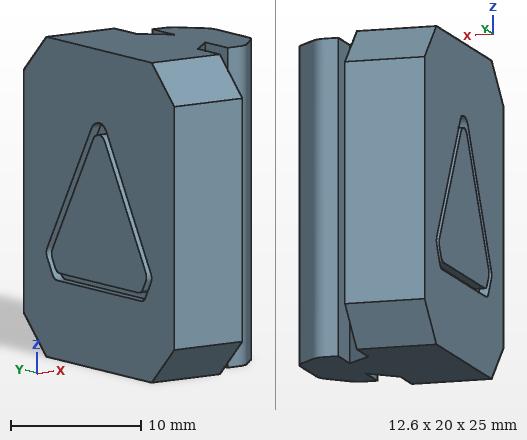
import cadquery as cq
import math

plate_thickness = 6.42
plate_width = 20.0
height = 25.0
plate_chamfer = 3.0

overall_depth = 12.55
neck_end_x = 8.58
neck_base_half_width = 4.1
neck_tip_half_width = 2.05
head_half_width = 5.0
head_chamfer = 2.3
head_corner_radius = 1.5

apex_z = 7.95
side_corner_z = -4.35
base_z = -6.32
groove_width = 0.6
groove_depth = 0.8
outer_apex_radius = 1.18
inner_apex_radius = 0.9
side_corner_radius = 0.75
base_corner_radius = 0.75


def make_plate():
    plate = cq.Workplane("XY").box(
        plate_thickness, plate_width, height, centered=(False, True, True)
    )
    return plate.edges("|X").chamfer(plate_chamfer)


def make_neck():
    return (
        cq.Workplane("XY", origin=(0, 0, -height / 2))
        .moveTo(plate_thickness, -neck_base_half_width)
        .lineTo(neck_end_x, -neck_tip_half_width)
        .lineTo(neck_end_x, neck_tip_half_width)
        .lineTo(plate_thickness, neck_base_half_width)
        .close()
        .extrude(height)
    )


def make_head():
    chamfer_start_x = overall_depth - head_chamfer
    tip_half_width = head_half_width - head_chamfer
    return (
        cq.Workplane("XY", origin=(0, 0, -height / 2))
        .moveTo(neck_end_x, -head_half_width)
        .lineTo(chamfer_start_x, -head_half_width)
        .lineTo(overall_depth, -tip_half_width)
        .lineTo(overall_depth, tip_half_width)
        .lineTo(chamfer_start_x, head_half_width)
        .lineTo(neck_end_x, head_half_width)
        .close()
        .extrude(height)
        .edges("|Z and (not <X)")
        .fillet(head_corner_radius)
    )


def make_triangle(inset, apex_radius):
    """Triangle with 60 degree sides and cut base corners, moved inward by inset."""
    slope = math.tan(math.radians(60))
    top = apex_z - inset / math.cos(math.radians(60))
    bottom = base_z + inset
    side_y = (top - side_corner_z) / slope
    base_y = side_y - (side_corner_z - bottom) / slope
    prism = (
        cq.Workplane("YZ")
        .polyline([
            (0, top),
            (side_y, side_corner_z),
            (base_y, bottom),
            (-base_y, bottom),
            (-side_y, side_corner_z),
        ])
        .close()
        .extrude(groove_depth)
    )
    prism = prism.edges("|X and >Z").fillet(apex_radius)
    prism = prism.edges("|X and (>Y or <Y)").fillet(side_corner_radius)
    return prism.edges("|X").edges("<Z").fillet(base_corner_radius)


groove = make_triangle(0, outer_apex_radius).cut(make_triangle(groove_width, inner_apex_radius))
result = make_plate().union(make_neck()).union(make_head()).cut(groove)